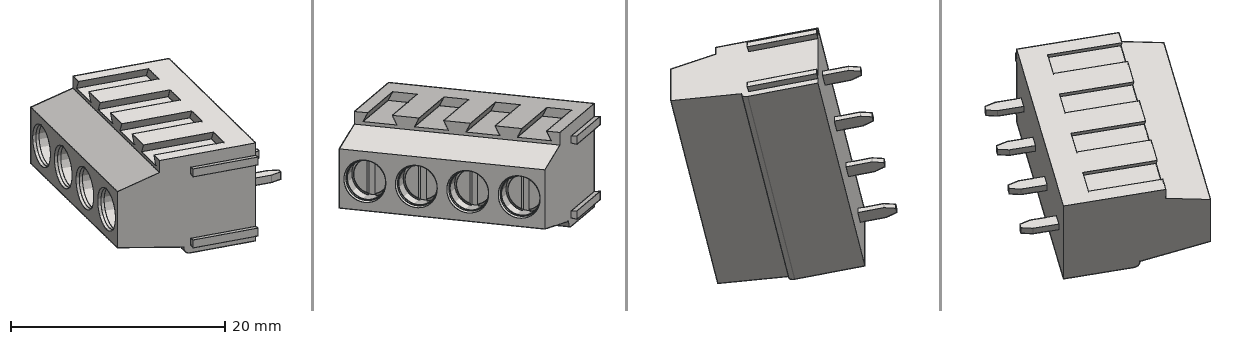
import cadquery as cq
import math

pole_count = 4
pitch = 5.08
body_width = pole_count * pitch
body_depth = 14.05
body_height = 10.1
overall_width = 20.9
overall_depth = 17.6

top_step_y = 4.28
top_step_drop = 1.23
top_slope_drop = 2.4
bottom_step_y = 6.77
bottom_step_height = 0.7
bottom_slope_rise = 1.9
heel_radius = 0.58

recess_depth = 0.9
recess_length = 7.1
recess_top_width = 2.42
recess_floor_width = 3.35

well_height = 4.78
well_radius = 1.98
mouth_radius = 2.07
mouth_inner_radius = 1.96
bead_crest_radius = 1.9
bead_crest_depth = 0.44
bead_round = 0.23
head_edge_round = 0.27
head_top_radius = well_radius - head_edge_round
head_depth = 1.71
slot_width = 0.77
slot_depth = 0.63

pin_width = 1.09
pin_thickness = 0.77
pin_center_height = 5.08
pin_tip_width = 0.45
pin_tip_length = 1.07

rail_length = 6.62
rail_root_width = 0.67
rail_outer_width = 0.81
rail_heights = (1.17, 8.48)

pole_positions = [(i + 0.5) * pitch for i in range(pole_count)]


def make_housing():
    heel_center_y = bottom_step_y + heel_radius
    profile = (
        cq.Workplane("YZ")
        .moveTo(0, bottom_slope_rise)
        .lineTo(bottom_step_y, bottom_step_height)
        .lineTo(bottom_step_y, heel_radius)
        .radiusArc((heel_center_y, 0), -heel_radius)
        .lineTo(body_depth, 0)
        .lineTo(body_depth, body_height)
        .lineTo(top_step_y, body_height)
        .lineTo(top_step_y, body_height - top_step_drop)
        .lineTo(0, body_height - top_slope_drop)
        .close()
    )
    return profile.extrude(body_width)


def make_recess(x):
    floor_z = body_height - recess_depth
    return (
        cq.Workplane("XZ", origin=(x, top_step_y + recess_length, 0))
        .moveTo(-recess_floor_width / 2, floor_z)
        .lineTo(recess_floor_width / 2, floor_z)
        .lineTo(recess_top_width / 2, body_height)
        .lineTo(-recess_top_width / 2, body_height)
        .close()
        .extrude(recess_length)
    )


def bead_half_width(radius):
    """Half the bead's length along the well axis where it meets the given well radius."""
    return math.sqrt(bead_round**2 - (bead_crest_radius + bead_round - radius) ** 2)


def make_well(x):
    bead_start = bead_crest_depth - bead_half_width(mouth_inner_radius)
    bead_end = bead_crest_depth + bead_half_width(well_radius)
    cavity = (
        cq.Workplane("XY", origin=(x, 0, well_height))
        .moveTo(0, 0)
        .lineTo(mouth_radius, 0)
        .lineTo(mouth_inner_radius, bead_start)
        .threePointArc((bead_crest_radius, bead_crest_depth), (well_radius, bead_end))
        .lineTo(well_radius, head_depth + head_edge_round)
        .radiusArc((head_top_radius, head_depth), -head_edge_round)
        .lineTo(0, head_depth)
        .close()
        .revolve(360, (0, 0, 0), (0, 1, 0))
    )
    slot_start = cq.Workplane("XZ", origin=(x, head_depth, well_height))
    slot = slot_start.rect(slot_width, 2 * mouth_radius).extrude(-slot_depth)
    head = slot_start.circle(well_radius).extrude(-slot_depth)
    screw_slot = slot.intersect(head)
    return cavity.union(screw_slot)


def make_pin(x):
    tip_y = overall_depth
    shoulder_y = tip_y - pin_tip_length
    return (
        cq.Workplane("XY", origin=(x, 0, pin_center_height - pin_thickness / 2))
        .moveTo(-pin_width / 2, body_depth)
        .lineTo(pin_width / 2, body_depth)
        .lineTo(pin_width / 2, shoulder_y)
        .lineTo(pin_tip_width / 2, tip_y)
        .lineTo(-pin_tip_width / 2, tip_y)
        .lineTo(-pin_width / 2, shoulder_y)
        .close()
        .extrude(pin_thickness)
    )


def make_rail(z):
    return (
        cq.Workplane("XZ", origin=(0, body_depth, z))
        .moveTo(body_width, -rail_root_width / 2)
        .lineTo(overall_width, -rail_outer_width / 2)
        .lineTo(overall_width, rail_outer_width / 2)
        .lineTo(body_width, rail_root_width / 2)
        .close()
        .extrude(rail_length)
    )


result = make_housing()
for pole_x in pole_positions:
    result = result.cut(make_recess(pole_x))
    result = result.cut(make_well(pole_x))
    result = result.union(make_pin(pole_x))
for rail_z in rail_heights:
    result = result.union(make_rail(rail_z))